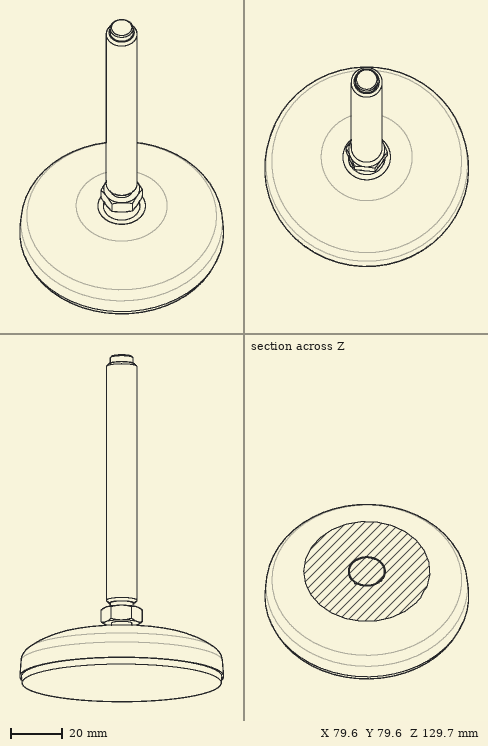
import cadquery as cq
import math

total_height = 129.7
base_diameter = 79.6

bottom_diameter = 77.8
pad_top_diameter = 78.2
rim_z = 2.6
shoulder_z = 8.7
shoulder_diameter = 78.7
base_top_z = 19.1
dome_edge_diameter = 74.0
dome_edge_z = 12.7
flat_top_diameter = 35.5
recess_diameter = 18.5
recess_depth = 0.1
socket_diameter = 14.3

ball_radius = 7.4
ball_center_z = 15.7

lower_neck_diameter = 8.0
upper_neck_diameter = 9.0
thread_diameter = 12.0
cone_end_diameter = 9.9
thread_bottom_z = 32.8
thread_top_z = 125.7
pin_diameter = 9.0
pin_chamfer = 0.5

hex_across_flats = 14.0
hex_bottom_z = 23.7
hex_top_z = 29.6
hex_cone_angle = 30.0


def make_base():
    """Revolved foot: tapered pad, rim and wall under a flat-topped dome with a recessed ball socket."""
    flat_radius = flat_top_diameter / 2
    dome_run = dome_edge_diameter / 2 - flat_radius
    dome_drop = base_top_z - dome_edge_z
    dome_radius = (dome_run**2 + dome_drop**2) / (2 * dome_drop)
    half_angle = math.asin(dome_run / dome_radius) / 2
    dome_middle = (
        flat_radius + dome_radius * math.sin(half_angle),
        base_top_z - dome_radius * (1 - math.cos(half_angle)),
    )
    recess_z = base_top_z - recess_depth
    socket_radius = socket_diameter / 2
    return (
        cq.Workplane("XZ")
        .lineTo(bottom_diameter / 2, 0)
        .lineTo(pad_top_diameter / 2, rim_z)
        .lineTo(base_diameter / 2, rim_z)
        .lineTo(shoulder_diameter / 2, shoulder_z)
        .tangentArcPoint((dome_edge_diameter / 2, dome_edge_z), relative=False)
        .threePointArc(dome_middle, (flat_radius, base_top_z))
        .lineTo(recess_diameter / 2, base_top_z)
        .lineTo(recess_diameter / 2, recess_z)
        .lineTo(socket_radius, recess_z)
        .lineTo(socket_radius, ball_center_z)
        .lineTo(0, ball_center_z)
        .close()
        .revolve(360, (0, 0, 0), (0, 1, 0))
    )


def make_stem():
    """Revolved ball, necks, thread and end pin, with 45 degree cones ending the thread."""
    lower_neck = lower_neck_diameter / 2
    upper_neck = upper_neck_diameter / 2
    thread = thread_diameter / 2
    pin = pin_diameter / 2
    cone_end = cone_end_diameter / 2
    cone_height = thread - cone_end
    ball_top_z = ball_center_z + math.sqrt(ball_radius**2 - lower_neck**2)
    ball_bottom_z = ball_center_z - ball_radius
    return (
        cq.Workplane("XZ")
        .moveTo(0, ball_bottom_z)
        .threePointArc((ball_radius, ball_center_z), (lower_neck, ball_top_z))
        .lineTo(lower_neck, hex_bottom_z)
        .lineTo(upper_neck, hex_bottom_z)
        .lineTo(upper_neck, thread_bottom_z - cone_height)
        .lineTo(cone_end, thread_bottom_z - cone_height)
        .lineTo(thread, thread_bottom_z)
        .lineTo(thread, thread_top_z)
        .lineTo(cone_end, thread_top_z + cone_height)
        .lineTo(pin, thread_top_z + cone_height)
        .lineTo(pin, total_height - pin_chamfer)
        .lineTo(pin - pin_chamfer, total_height)
        .lineTo(0, total_height)
        .close()
        .revolve(360, (0, 0, 0), (0, 1, 0))
    )


def make_hex():
    """Hexagonal prism with its corners turned down to a cone at both ends."""
    side_count = 6
    height = hex_top_z - hex_bottom_z
    corner_radius = hex_across_flats / 2 / math.cos(math.pi / side_count)
    end_radius = hex_across_flats / 2
    chamfer_height = (corner_radius - end_radius) * math.tan(math.radians(hex_cone_angle))
    prism = (
        cq.Workplane("XY", origin=(0, 0, hex_bottom_z))
        .polygon(side_count, 2 * corner_radius)
        .extrude(height)
        .rotate((0, 0, 0), (0, 0, 1), 180 / side_count)
    )
    envelope = (
        cq.Workplane("XZ")
        .moveTo(0, hex_bottom_z)
        .lineTo(end_radius, hex_bottom_z)
        .lineTo(corner_radius, hex_bottom_z + chamfer_height)
        .lineTo(corner_radius, hex_top_z - chamfer_height)
        .lineTo(end_radius, hex_top_z)
        .lineTo(0, hex_top_z)
        .close()
        .revolve(360, (0, 0, 0), (0, 1, 0))
    )
    return prism.intersect(envelope)


stem = make_stem().union(make_hex())
result = make_base().union(stem)